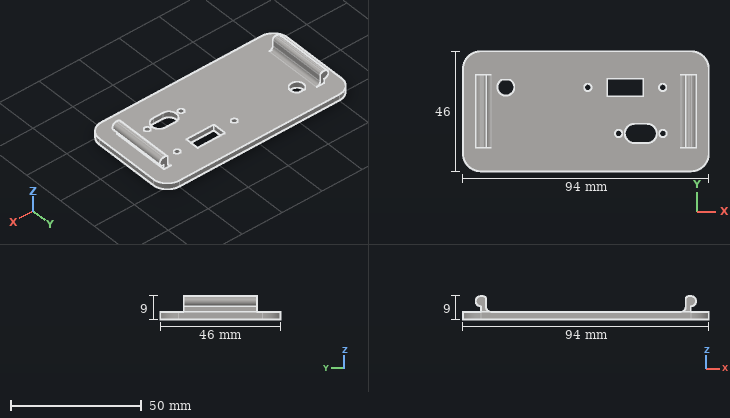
import cadquery as cq
import math

plate_length = 94.0
plate_width = 46.0
plate_thickness = 3.0
corner_radius = 7.0
total_height = 9.0

rail_length = 28.0
stem_thickness = 2.0
stem_outer_x = plate_length / 2 - corner_radius
stem_inner_x = stem_outer_x - stem_thickness
bead_radius = 2.0
bead_center_x = stem_outer_x + 0.1
bead_center_z = total_height - bead_radius
inner_top_radius = 1.2
root_radius = 1.8

screw_diameter = 2.7
upper_row_y = 9.1
lower_row_y = -8.5
window_x = 15.0
window_length = 13.7
window_width = 6.6
window_screw_offset = 14.3
slot_x = 21.0
slot_length = 12.1
slot_width = 7.2
slot_screw_offset = 8.5
round_hole_x = -30.55
round_hole_y = 9.2
round_hole_radius = 3.2
round_hole_flat = 2.8


def make_plate():
    plate = cq.Workplane("XY").box(plate_length, plate_width, plate_thickness, centered=(True, True, False))
    return plate.edges("|Z").fillet(corner_radius)


def make_rail():
    """Rail on the +X side: a stem with a rounded bead facing outwards."""
    neck_z = bead_center_z - math.sqrt(bead_radius**2 - (stem_outer_x - bead_center_x) ** 2)
    diagonal = math.sqrt(0.5)
    corner_inset = inner_top_radius * (1 - diagonal)
    root_inset = root_radius * (1 - diagonal)
    profile = (
        cq.Workplane("XZ")
        .moveTo(stem_outer_x, 0)
        .lineTo(stem_outer_x, neck_z)
        .threePointArc((bead_center_x + bead_radius, bead_center_z), (bead_center_x, total_height))
        .lineTo(stem_inner_x + inner_top_radius, total_height)
        .threePointArc(
            (stem_inner_x + corner_inset, total_height - corner_inset),
            (stem_inner_x, total_height - inner_top_radius),
        )
        .lineTo(stem_inner_x, plate_thickness + root_radius)
        .threePointArc(
            (stem_inner_x - root_inset, plate_thickness + root_inset),
            (stem_inner_x - root_radius, plate_thickness),
        )
        .lineTo(stem_inner_x - root_radius, 0)
        .close()
    )
    return profile.extrude(rail_length / 2, both=True)


def make_openings():
    """Cutting bodies for all openings through the plate."""
    screw_points = [(window_x + side * window_screw_offset, upper_row_y) for side in (-1, 1)]
    screw_points += [(slot_x + side * slot_screw_offset, lower_row_y) for side in (-1, 1)]
    plane = cq.Workplane("XY")
    screws = plane.pushPoints(screw_points).circle(screw_diameter / 2).extrude(plate_thickness)
    window = plane.center(window_x, upper_row_y).rect(window_length, window_width).extrude(plate_thickness)
    slot = plane.center(slot_x, lower_row_y).slot2D(slot_length, slot_width).extrude(plate_thickness)

    flat_half_width = math.sqrt(round_hole_radius**2 - round_hole_flat**2)
    flatted_hole = (
        plane.center(round_hole_x, round_hole_y)
        .moveTo(-flat_half_width, round_hole_flat)
        .threePointArc((0, -round_hole_radius), (flat_half_width, round_hole_flat))
        .close()
        .extrude(plate_thickness)
    )
    return screws, window, slot, flatted_hole


right_rail = make_rail()
left_rail = right_rail.mirror("YZ")
result = make_plate().union(right_rail).union(left_rail)
for opening in make_openings():
    result = result.cut(opening)